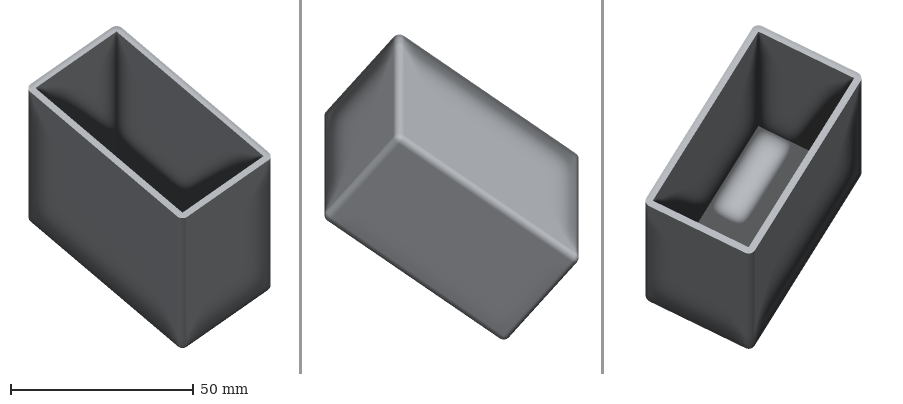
import cadquery as cq

length = 64.0
width = 34.0
height = 57.0

wall = 2.0
edge_radius = wall

body = (
    cq.Workplane("XY")
    .box(length, width, height, centered=(True, True, False))
    .edges("|Z or <Z")
    .fillet(edge_radius)
)

cavity = (
    cq.Workplane("XY")
    .workplane(offset=wall)
    .rect(length - 2 * wall, width - 2 * wall)
    .extrude(height - wall)
)

result = body.cut(cavity)